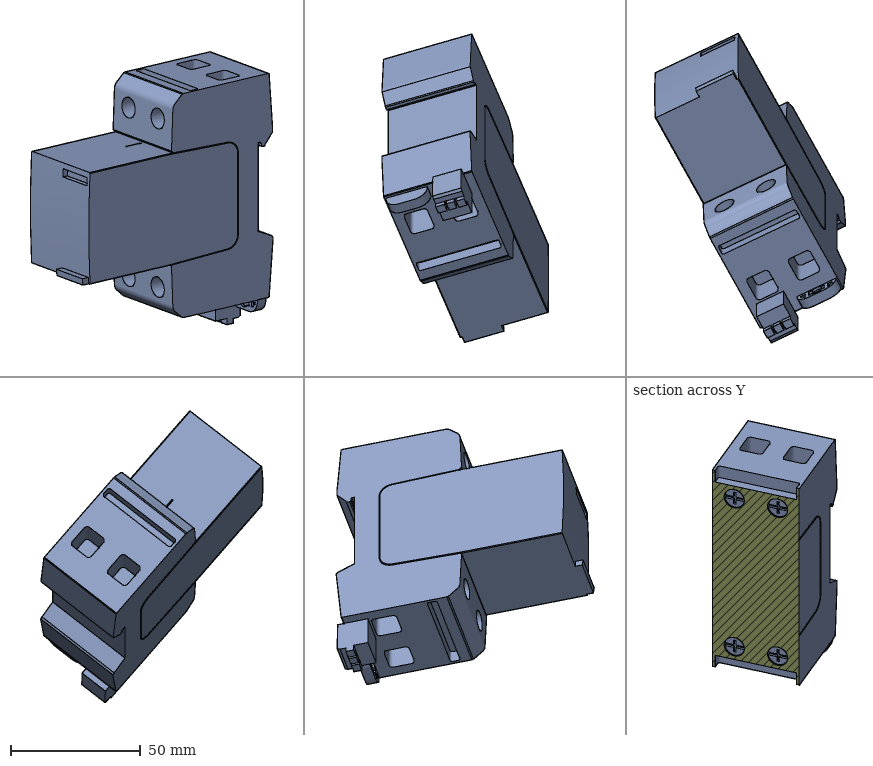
import cadquery as cq


width = 36.0
height = 90.3
mid_z = height / 2
pole_offset = 9.0

end_back_y = 5.1
end_bevel = 0.3
end_front_y = -36.9
front_y = -42.8

shoulder_bevel = [(-37.5, 0.2), (-38.4, 1.0), (-40.3, 2.7)]
shoulder_arc_middle = (-41.7, 4.2)
shoulder_arc_end = (-42.1, 6.2)

ramp = [(0, 27.6), (6.5, 24.7), (7.3, 24.0), (7.3, 23.1)]
hook = [
    (0, 63.3), (1.1, 63.3), (1.5, 62.7), (1.5, 61.8), (1.9, 61.4),
    (3.2, 61.4), (3.4, 62.0), (7.1, 66.3), (7.1, 68.0),
]

upper_lead_in = 1.0
lower_lead_in = 0.3

module_top = 67.3
module_bottom = 22.3
module_back_y = -9.8
module_front_y = -82.9
module_bulge = 0.6
module_flat_y = -43.4
module_taper = 1.1
module_corner_radius = 5.3
module_edge_chamfer = 0.3

slit_width = 0.4
slit_depth = 0.5
slit_end_y = -50.7

grip_left, grip_right = 1.7, 16.5
grip_bottom, grip_top = 61.7, 65.0
grip_depth = 1.9
grip_radius = 0.4

lip_left, lip_right = 1.1, 17.1
lip_front_y = -86.0
lip_height = 2.6
lip_lean = 0.3

screw_inset = 11.2
screw_diameter = 8.1
screw_head_y = -31.7
screw_slot_width = 1.3
screw_cross_width = 1.0
screw_cross_length = 5.2
screw_slot_depth = 1.1

wire_x, wire_y = 9.5, 10.0
wire_center_y = -10.4
wire_radius = 1.5
wire_depth = 14.8
label_x, label_y = 33.7, 3.9
label_center_y = -30.6
label_radius = 0.8
label_depth = 5.3

plug_left, plug_right = -14.6, -3.0
plug_top_back_y = 7.7
plug_back_y = 7.9
plug_front_y = -4.4
plug_drop = 12.8
plug_back_drop = 13.4
plug_bevel_y = 6.8
key_front_y, key_back_y = 1.3, 4.4
total_height = 105.6
key_drop = total_height - height
key_gap = 0.8
key_gap_centers = (-10.9, -7.0)

clip_half_width = 8.5
clip_drop = 6.0
clip_radius = 5.3
clip_front_y, clip_back_y = 0.0, 4.2
clip_recess_depth = 1.1
clip_recess_z = -2.5
clip_round_radius = 2.3
clip_bar_x, clip_bar_z = 6.8, 2.6
clip_wedge = [(4.9, -1.6), (6.8, -1.6), (6.8, -2.3), (5.4, -3.8), (4.9, -3.8)]

overlap = 1.1


def side_plane(x):
    """Sketch plane at x, with local x along +Y and local y along +Z."""
    return cq.Workplane("YZ").workplane(offset=x)


def front_plane(y):
    """Sketch plane at y, with local x along +X, local y along +Z and normal -Y."""
    return cq.Workplane("XZ").workplane(offset=-y)


def box(x0, x1, y0, y1, z0, z1):
    return cq.Workplane().box(x1 - x0, y1 - y0, z1 - z0, centered=False).translate((x0, y0, z0))


def from_top(point):
    """Turn a (Y, distance below the top) pair into a (Y, Z) point."""
    y, drop = point
    return y, height - drop


def make_base():
    """Side outline of the base, with the rail hook above and the clip ramp below the rail face."""
    lower_end = [
        (end_back_y + end_bevel, end_bevel),
        (end_back_y, 0),
        (end_front_y, 0),
    ]
    front = [
        (front_y, module_bottom - lower_lead_in),
        (front_y + lower_lead_in, module_bottom),
        (front_y + upper_lead_in, module_top),
        (front_y, module_top + upper_lead_in),
        from_top(shoulder_arc_end),
    ]
    upper_end = [from_top(point) for point in reversed(lower_end + shoulder_bevel[:-1])]
    outline = (
        side_plane(-width / 2)
        .polyline(ramp + lower_end + shoulder_bevel)
        .threePointArc(shoulder_arc_middle, shoulder_arc_end)
        .polyline(front, includeCurrent=True)
        .threePointArc(from_top(shoulder_arc_middle), from_top(shoulder_bevel[-1]))
        .polyline(upper_end + hook[::-1], includeCurrent=True)
        .close()
    )
    return outline.extrude(width)


def make_module_blank():
    """Sharp-sided module with a bulging front and two rounded back corners."""
    blank = (
        side_plane(-width / 2)
        .moveTo(module_front_y, module_bottom)
        .lineTo(module_flat_y, module_bottom)
        .lineTo(module_back_y, module_bottom + module_taper)
        .lineTo(module_back_y, module_top - module_taper)
        .lineTo(module_flat_y, module_top)
        .lineTo(module_front_y, module_top)
        .threePointArc(
            (module_front_y - module_bulge, (module_top + module_bottom) / 2),
            (module_front_y, module_bottom),
        )
        .close()
        .extrude(width)
    )
    return blank.edges("|X and >Y").fillet(module_corner_radius)


def make_module(blank):
    """Module with bevelled side edges, a slit on top, a grip recess and a pull lip in front."""
    side_edges = blank.faces("<X or >X").edges().filter(
        lambda edge: edge.Center().y > module_front_y
    )
    module = side_edges.chamfer(module_edge_chamfer)

    slit = box(
        -slit_width / 2, slit_width / 2, slit_end_y, module_flat_y,
        module_top - slit_depth, module_top,
    )
    grip = box(
        grip_left, grip_right, module_front_y - 2 * module_bulge, module_front_y + grip_depth,
        grip_bottom, grip_top,
    ).edges("|Y and >X").fillet(grip_radius)
    lip = (
        side_plane(lip_left)
        .moveTo(module_front_y + overlap, module_bottom)
        .lineTo(lip_front_y + lip_lean, module_bottom)
        .lineTo(lip_front_y, module_bottom + lip_height)
        .lineTo(module_front_y + overlap, module_bottom + lip_height)
        .close()
        .extrude(lip_right - lip_left)
    )
    return module.cut(slit).cut(grip).union(lip)


def make_screw_well(x, z):
    """Round well in front of a screw head, with a driver slot and a shorter cross arm in the head."""
    bottom = front_plane(screw_head_y + screw_slot_depth).center(x, z)
    well = bottom.circle(screw_diameter / 2).extrude(screw_head_y + screw_slot_depth - front_y)
    head_block = bottom.rect(2 * screw_diameter, 2 * screw_diameter).extrude(screw_slot_depth)
    slot = bottom.rect(2 * screw_diameter, screw_slot_width).extrude(screw_slot_depth)
    cross = bottom.rect(screw_cross_width, screw_cross_length).extrude(screw_slot_depth)
    return well.cut(head_block.cut(slot).cut(cross))


def make_end_openings():
    """Two wire openings and a label slot, sunk into the top of the base."""
    top = cq.Workplane().workplane(offset=height)
    wires = (
        top.pushPoints([(-pole_offset, wire_center_y), (pole_offset, wire_center_y)])
        .rect(wire_x, wire_y).extrude(-wire_depth).edges("|Z").fillet(wire_radius)
    )
    label = (
        top.center(0, label_center_y)
        .rect(label_x, label_y).extrude(-label_depth).edges("|Z").fillet(label_radius)
    )
    return wires.union(label)


def make_plug():
    """Connector plug with a row of three keys along its lower end."""
    plug = (
        side_plane(plug_left)
        .moveTo(plug_front_y, 0)
        .lineTo(plug_top_back_y, 0)
        .lineTo(plug_back_y, -plug_drop)
        .lineTo(plug_bevel_y, -plug_back_drop)
        .lineTo(key_back_y, -plug_back_drop)
        .lineTo(key_back_y, -key_drop)
        .lineTo(key_front_y, -key_drop)
        .lineTo(key_front_y, -plug_drop)
        .lineTo(plug_front_y, -plug_drop)
        .close()
        .extrude(plug_right - plug_left)
    )
    for x in key_gap_centers:
        gap = box(
            x - key_gap / 2, x + key_gap / 2, key_front_y, key_back_y, -key_drop, -plug_drop
        )
        plug = plug.cut(gap)
    return plug


def make_clip():
    """Tongue of the rail clip, with a keyed recess and two wedge recesses in its front."""
    clip = box(
        pole_offset - clip_half_width, pole_offset + clip_half_width,
        clip_front_y, clip_back_y, -clip_drop, overlap,
    ).edges("|Y and <Z").fillet(clip_radius)

    face = front_plane(clip_front_y).center(pole_offset, 0)
    bar = face.center(0, clip_recess_z).rect(clip_bar_x, clip_bar_z).extrude(-clip_recess_depth)
    disc = face.center(0, clip_recess_z).circle(clip_round_radius).extrude(-clip_recess_depth)
    clip = clip.cut(bar).cut(disc)
    for side in (-1, 1):
        wedge = face.polyline([(side * x, z) for x, z in clip_wedge]).close()
        clip = clip.cut(wedge.extrude(-clip_recess_depth))
    return clip


module_blank = make_module_blank()
base = make_base().cut(module_blank)

for screw_x in (-pole_offset, pole_offset):
    for screw_z in (screw_inset, height - screw_inset):
        base = base.cut(make_screw_well(screw_x, screw_z))

openings = make_end_openings()
base = base.cut(openings).cut(openings.mirror("XY", (0, 0, mid_z)))

result = base.union(make_module(module_blank)).union(make_plug()).union(make_clip())